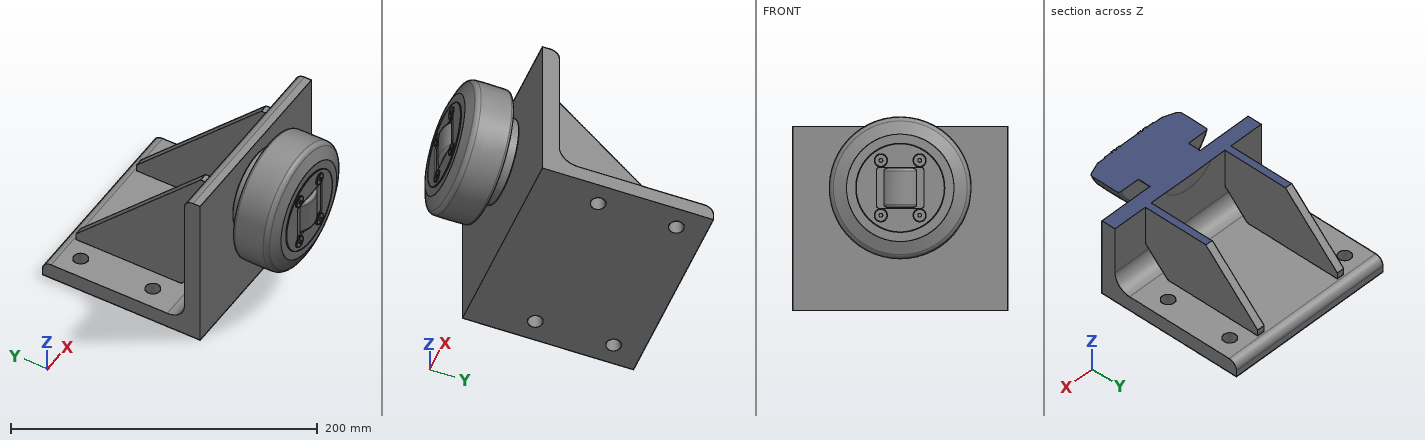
import cadquery as cq


width = 140.0
leg = 120.0
leg_thickness = 12.0
inner_radius = 13.0
toe_radius = 6.5

rib_thickness = 6.0
rib_spacing = 76.1
rib_setback = 8.0
rib_land = 5.1
rib_corner_cut = 20.0

hole_diameter = 10.2
hole_spacing_x = 109.9
hole_spacing_y = 55.0
hole_edge_distance = 20.0

axis_height = 80.0
boss_diameter = 59.0
boss_length = 10.0
boss_chamfer = 0.5
dome_diameter = 55.3
dome_height = 0.7
wheel_diameter = 92.5
wheel_crown = 0.3
wheel_rim_end = 35.9
wheel_face = 40.3
wheel_face_diameter = 70.0
wheel_back_fillet = 2.0
wheel_front_fillet = 4.0

cap_diameter = 58.0
cap_face = 41.0
cap_chamfer = 0.3

screw_diameter = 7.9
screw_face = 41.5
screw_recess_diameter = 8.5
screw_recess_depth = 0.5
screw_spacing_x = 25.3
screw_spacing_z = 35.8
socket_diameter = 2.5
socket_depth = 1.0

window_width = 31.0
window_height = 26.7
window_corner_radius = 2.0
window_depth = 1.0
side_roller_radius = 17.0
side_roller_crown = 0.2
side_roller_length = 25.9
side_roller_fillet = 2.1
side_roller_tip = 44.0


def wheel_plane(depth):
    """Plane on the wheel axis, facing -Y, at a depth outward from the wall."""
    return cq.Workplane("XZ", origin=(0, -depth, axis_height))


def disc(diameter, start, end):
    """Cylinder on the wheel axis between two depths."""
    return wheel_plane(start).circle(diameter / 2).extrude(end - start)


def make_bracket():
    bracket = (
        cq.Workplane("YZ")
        .polyline([
            (0, 0),
            (leg, 0),
            (leg, leg_thickness),
            (leg_thickness, leg_thickness),
            (leg_thickness, leg),
            (0, leg),
        ])
        .close()
        .extrude(width / 2, both=True)
    )
    inner_corner = cq.selectors.NearestToPointSelector((0, leg_thickness, leg_thickness))
    base_toe = cq.selectors.NearestToPointSelector((0, leg, leg_thickness))
    wall_toe = cq.selectors.NearestToPointSelector((0, leg_thickness, leg))
    bracket = bracket.edges(inner_corner).fillet(inner_radius)
    bracket = bracket.edges(base_toe).fillet(toe_radius)
    bracket = bracket.edges(wall_toe).fillet(toe_radius)

    holes = (
        cq.Workplane("XY")
        .center(0, leg - hole_edge_distance - hole_spacing_y / 2)
        .rect(hole_spacing_x, hole_spacing_y, forConstruction=True)
        .vertices()
        .circle(hole_diameter / 2)
        .extrude(leg_thickness)
    )
    return bracket.cut(holes)


def make_rib(center_x):
    start = leg_thickness
    end = leg - rib_setback
    return (
        cq.Workplane("YZ", origin=(center_x, 0, 0))
        .polyline([
            (start + rib_corner_cut, start),
            (end, start),
            (end, start + rib_land),
            (start + rib_land, end),
            (start, end),
            (start, start + rib_corner_cut),
        ])
        .close()
        .extrude(rib_thickness / 2, both=True)
    )


def make_rear_dome():
    """Shallow domed end of the wheel stub on the wall's inner face."""
    rim_radius = dome_diameter / 2
    sphere_radius = (rim_radius**2 + dome_height**2) / (2 * dome_height)
    return (
        cq.Workplane("XY")
        .moveTo(0, leg_thickness)
        .lineTo(rim_radius, leg_thickness)
        .radiusArc((0, leg_thickness + dome_height), -sphere_radius)
        .close()
        .revolve(360, (0, 0, 0), (0, 1, 0))
        .translate((0, 0, axis_height))
    )


def make_boss():
    return disc(boss_diameter, 0, boss_length).faces(">Y").chamfer(boss_chamfer)


def make_wheel():
    rim_radius = wheel_diameter / 2 - wheel_crown
    rim_middle = (boss_length + wheel_rim_end) / 2
    wheel = (
        cq.Workplane("XY")
        .moveTo(0, -boss_length)
        .lineTo(rim_radius, -boss_length)
        .threePointArc((wheel_diameter / 2, -rim_middle), (rim_radius, -wheel_rim_end))
        .lineTo(wheel_face_diameter / 2, -wheel_face)
        .lineTo(0, -wheel_face)
        .close()
        .revolve(360, (0, 0, 0), (0, 1, 0))
        .translate((0, 0, axis_height))
    )
    wheel = wheel.faces(">Y").edges().fillet(wheel_back_fillet)
    front_edge = cq.selectors.NearestToPointSelector((0, -wheel_rim_end, axis_height))
    return wheel.edges(front_edge).fillet(wheel_front_fillet)


def screw_positions(depth):
    return (
        wheel_plane(depth)
        .rect(screw_spacing_x, screw_spacing_z, forConstruction=True)
        .vertices()
    )


def make_hub_cap():
    cap = disc(cap_diameter, wheel_face, cap_face).faces("<Y").chamfer(cap_chamfer)
    recess_floor = cap_face - screw_recess_depth
    recesses = (
        screw_positions(recess_floor)
        .circle(screw_recess_diameter / 2)
        .extrude(screw_recess_depth)
    )
    screws = (
        screw_positions(recess_floor)
        .circle(screw_diameter / 2)
        .extrude(screw_face - recess_floor)
    )
    sockets = (
        screw_positions(screw_face - socket_depth)
        .circle(socket_diameter / 2)
        .extrude(socket_depth)
    )
    return cap.cut(recesses).union(screws).cut(sockets)


def make_window():
    return (
        wheel_plane(cap_face - window_depth)
        .rect(window_width, window_height)
        .extrude(window_depth)
        .edges("|Y")
        .fillet(window_corner_radius)
    )


def make_side_roller():
    end_radius = side_roller_radius - side_roller_crown
    half_length = side_roller_length / 2
    return (
        cq.Workplane("XZ")
        .moveTo(0, -half_length)
        .lineTo(end_radius, -half_length)
        .threePointArc((side_roller_radius, 0), (end_radius, half_length))
        .lineTo(0, half_length)
        .close()
        .revolve(360, (0, 0, 0), (0, 1, 0))
        .faces("|Z")
        .edges()
        .fillet(side_roller_fillet)
        .translate((0, side_roller_radius - side_roller_tip, axis_height))
    )


bracket = make_bracket()
for side in (-1, 1):
    bracket = bracket.union(make_rib(side * rib_spacing / 2))

wheel_unit = make_wheel().union(make_hub_cap()).cut(make_window()).union(make_side_roller())

result = bracket.union(make_rear_dome()).union(make_boss()).union(wheel_unit)